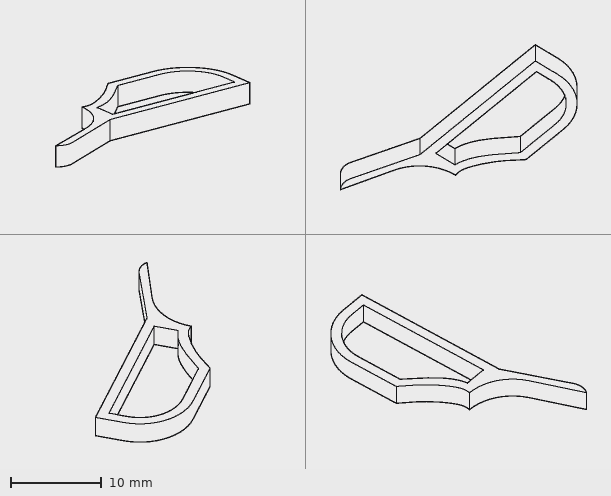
import cadquery as cq
import math

length = 29.53
thickness = 2.5
wall = 1.2
loop_width = 9.42
corner_radius = 6.15

left_wall_end = 16.98
strut_mid = (2.15, 14.76)
strut_bend = (3.87, 12.2)
heel_x = 4.28
heel_top = 11.15
heel_y = 10.05
cavity_left_end = 17.42
cavity_strut_mid = (3.25, 15.27)
cavity_strut_bend = (4.93, 12.85)
cavity_heel_x = 5.43

tail_slope = math.radians(67.9)
tail_root_y = 9.98
tail_round_start = (12.8, 2.0)
tail_round_mid = (12.9, 1.33)
tail_tip = (12.45, 0)


def corner_mid(radius):
    """Middle of the rounded corner, whose center is shared by both faces of the wall."""
    offset = radius * math.sqrt(0.5)
    return (corner_radius - offset, length - corner_radius + offset)


def under_arc_point(angle):
    """Point on the concave arc under the heel, at an angle turned from its level start."""
    x = heel_x + corner_radius * math.sin(angle)
    y = heel_y - corner_radius * (1 - math.cos(angle))
    return (x, y)


outline = (
    cq.Workplane("XY")
    .moveTo(corner_radius, length)
    .threePointArc(corner_mid(corner_radius), (0, length - corner_radius))
    .lineTo(0, left_wall_end)
    .spline([strut_mid, strut_bend, (heel_x, heel_top), (heel_x, heel_y)], includeCurrent=True)
    .threePointArc(under_arc_point(tail_slope / 2), under_arc_point(tail_slope))
    .lineTo(*tail_tip)
    .threePointArc(tail_round_mid, tail_round_start)
    .lineTo(loop_width, tail_root_y)
    .lineTo(loop_width, length)
    .close()
)

cavity_right = loop_width - wall
cavity_bottom = heel_y + wall
opening = (
    cq.Workplane("XY")
    .moveTo(corner_radius, length - wall)
    .threePointArc(corner_mid(corner_radius - wall), (wall, length - corner_radius))
    .lineTo(wall, cavity_left_end)
    .spline([cavity_strut_mid, cavity_strut_bend, (cavity_heel_x, cavity_bottom)], includeCurrent=True)
    .lineTo(cavity_right, cavity_bottom)
    .lineTo(cavity_right, length - wall)
    .close()
)

result = outline.extrude(thickness).cut(opening.extrude(thickness))